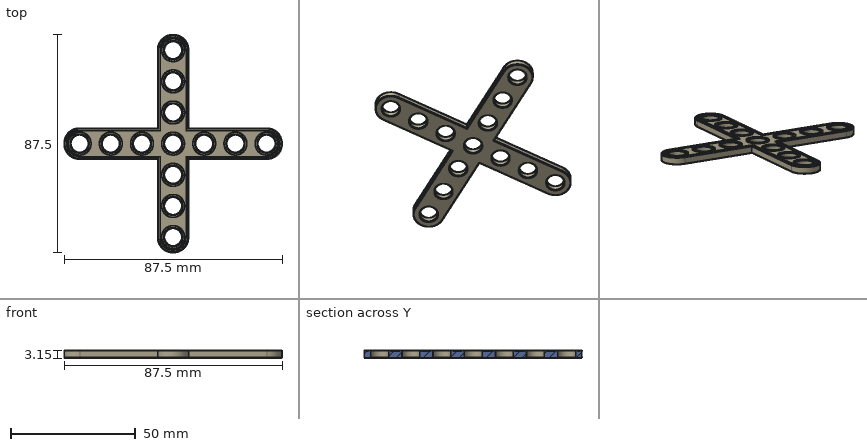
import cadquery as cq

span = 87.5
holes_per_bar = 7
thickness = 3.15
rim_width = 1.05
hole_diameter = 7.0
collar_diameter = 9.2
panel_depth = 0.23
bevel = 0.3

pitch = span / holes_per_bar
bar_width = pitch
last_index = holes_per_bar // 2
offsets = [i * pitch for i in range(-last_index, last_index + 1)]
hole_centers = [(d, 0) for d in offsets] + [(0, d) for d in offsets if d != 0]


def cross(length, width, height):
    """Plus-shaped plate of two equal round-ended bars, standing on Z = 0."""
    along_x = cq.Workplane("XY").slot2D(length, width).extrude(height)
    along_y = cq.Workplane("XY").slot2D(length, width, 90).extrude(height)
    return along_x.union(along_y)


def cylinders(diameter, height):
    """One upright cylinder at every hole position."""
    return cq.Workplane("XY").pushPoints(hole_centers).circle(diameter / 2).extrude(height)


plate = cross(span, bar_width, thickness)
plate = plate.faces("<Z or >Z").edges().chamfer(bevel)

plate = plate.cut(cylinders(hole_diameter, thickness))
plate = plate.faces("<Z or >Z").edges(cq.selectors.RadiusNthSelector(0)).chamfer(bevel)

recess = cross(span - 2 * rim_width, bar_width - 2 * rim_width, panel_depth)
recess = recess.cut(cylinders(collar_diameter, panel_depth))
plate = plate.cut(recess.translate((0, 0, thickness - panel_depth)))

result = plate.translate((0, 0, -thickness / 2))